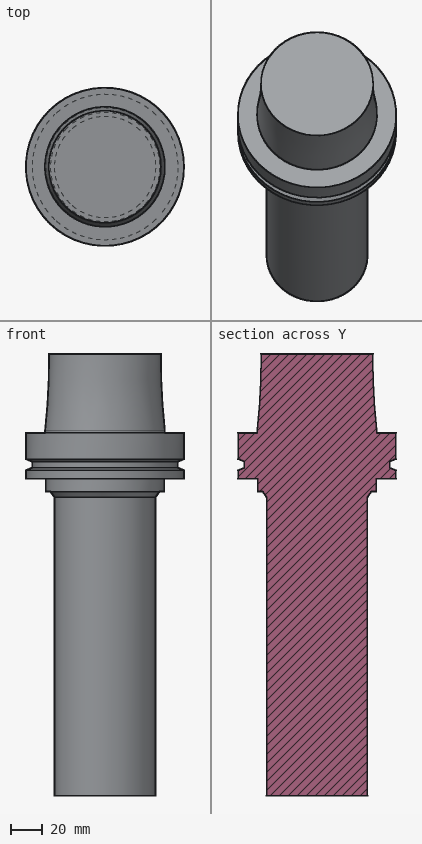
import cadquery as cq
import math

TAPER_HEIGHT = 50.0
TAPER_TOP_DIAMETER = 70.8
TAPER_BASE_DIAMETER = 75.8
TAPER_MID_INSET = 0.7
SEAT_HEIGHT = 1.6

FLANGE_DIAMETER = 100.0
FLANGE_THICKNESS = 29.0

GROOVE_DIAMETER = 92.0
GROOVE_WIDTH = 7.0
GROOVE_CENTER_DEPTH = 20.0
GROOVE_ANGLE = 45.0

COLLAR_DIAMETER = 75.0
COLLAR_BOTTOM_DEPTH = 37.0
SHANK_DIAMETER = 64.0
SHANK_BOTTOM_DEPTH = 229.0
NECK_HEIGHT = 3.5
NECK_DIAMETER = 69.0


def make_taper():
    """Flared taper standing on a short cylinder."""
    top_radius = TAPER_TOP_DIAMETER / 2
    base_radius = TAPER_BASE_DIAMETER / 2
    middle_radius = (top_radius + base_radius) / 2 - TAPER_MID_INSET
    middle_height = (TAPER_HEIGHT + SEAT_HEIGHT) / 2
    return (
        cq.Workplane("XZ")
        .lineTo(base_radius, 0)
        .lineTo(base_radius, SEAT_HEIGHT)
        .threePointArc((middle_radius, middle_height), (top_radius, TAPER_HEIGHT))
        .lineTo(0, TAPER_HEIGHT)
        .close()
        .revolve(360, (0, 0, 0), (0, 1, 0))
    )


def make_groove():
    """Ring with sloped walls that cuts the gripper groove into the flange rim."""
    rim_radius = FLANGE_DIAMETER / 2
    floor_radius = GROOVE_DIAMETER / 2
    wall_height = (rim_radius - floor_radius) * math.tan(math.radians(GROOVE_ANGLE / 2))
    top = -GROOVE_CENTER_DEPTH + GROOVE_WIDTH / 2
    bottom = -GROOVE_CENTER_DEPTH - GROOVE_WIDTH / 2
    return (
        cq.Workplane("XZ")
        .moveTo(rim_radius, top)
        .lineTo(floor_radius, top - wall_height)
        .lineTo(floor_radius, bottom + wall_height)
        .lineTo(rim_radius, bottom)
        .close()
        .revolve(360, (0, 0, 0), (0, 1, 0))
    )


def make_flange():
    """Flange disc with its gripper groove."""
    disc = cq.Workplane("XY").circle(FLANGE_DIAMETER / 2).extrude(-FLANGE_THICKNESS)
    return disc.cut(make_groove())


def make_shank():
    """Collar, conical neck and cylindrical shank below the flange."""
    shank_radius = SHANK_DIAMETER / 2
    return (
        cq.Workplane("XZ")
        .moveTo(0, -FLANGE_THICKNESS)
        .lineTo(COLLAR_DIAMETER / 2, -FLANGE_THICKNESS)
        .lineTo(COLLAR_DIAMETER / 2, -COLLAR_BOTTOM_DEPTH)
        .lineTo(NECK_DIAMETER / 2, -COLLAR_BOTTOM_DEPTH)
        .lineTo(shank_radius, -COLLAR_BOTTOM_DEPTH - NECK_HEIGHT)
        .lineTo(shank_radius, -SHANK_BOTTOM_DEPTH)
        .lineTo(0, -SHANK_BOTTOM_DEPTH)
        .close()
        .revolve(360, (0, 0, 0), (0, 1, 0))
    )


result = make_flange().union(make_taper()).union(make_shank())